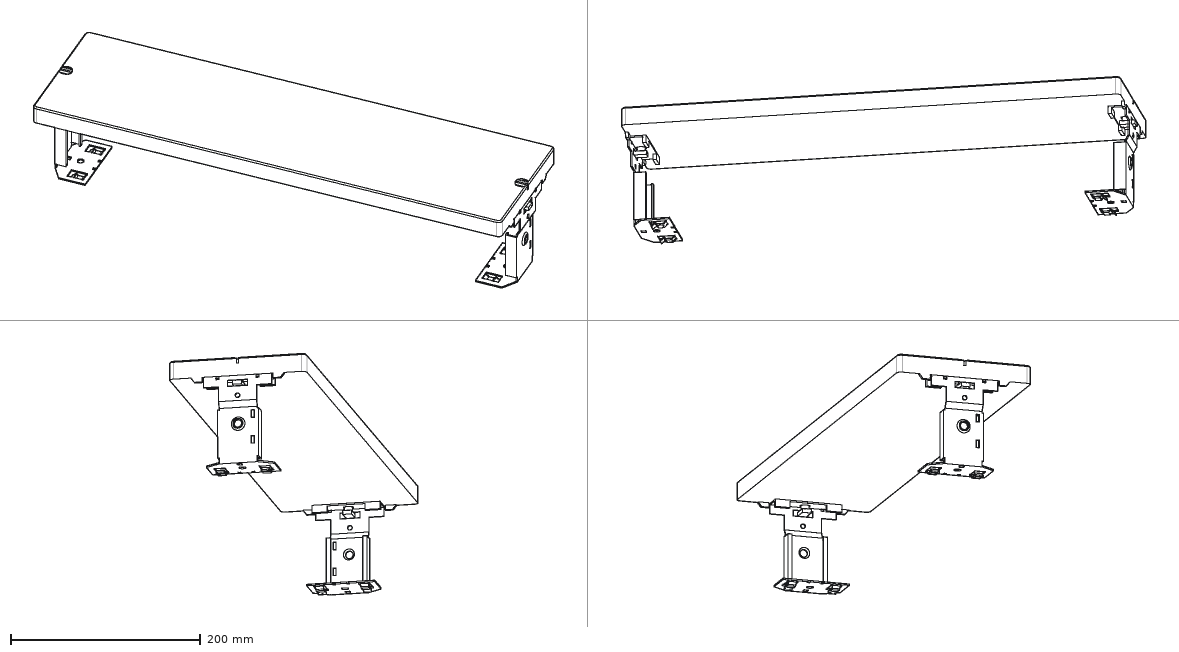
import cadquery as cq

COVER_LENGTH = 537.5
COVER_WIDTH = 149.0
COVER_HEIGHT = 20.0
CORNER_RADIUS = 5.0
TOP_EDGE_CHAMFER = 1.5
OVERALL_LENGTH = 543.0
OVERALL_HEIGHT = 120.0

EAR_INNER_Y = 38.5
EAR_OUTER_Y = 50.5
EAR_SLOPE = 4.0
EAR_DROP = 5.0
EAR_THICKNESS = 3.0

LOCK_X = 261.0
HEAD_DIAMETER = 14.0
HEAD_SINK = 0.5
HEAD_FLATS = 10.0
HEAD_GAP_DEPTH = 1.5
SLOT_WIDTH = 2.0
SLOT_DEPTH = 6.5
SHANK_DIAMETER = 8.5
CAM_WIDTH = 10.0
CAM_TOP = -6.0
CAM_BOTTOM = -10.5
CAM_INNER_X = 254.5

SHEET = 1.5
UPPER_WALL_X = COVER_LENGTH / 2
LOWER_WALL_X = 265.0
WALL_HALF_WIDTH = 20.5
JOG_TOP = -27.5
JOG_BOTTOM = -34.0
FOOT_BOTTOM = -95.0
FOOT_TOP = FOOT_BOTTOM + SHEET

WING_HALF_WIDTH = 37.0
WING_BOTTOM = -11.5
SEAT_INNER_X = 248.5
SHANK_CLEARANCE = 2.0
LIP_THICKNESS = 4.0
LIP_DROP = 8.0

RELIEF_Y = 21.5
RELIEF_WIDTH = 3.0
RELIEF_DEPTH = 3.0

WINDOW_WIDTH = 21.5
WINDOW_TOP = -5.0
WINDOW_BOTTOM = WING_BOTTOM
PILOT_DIAMETER = 5.0
PILOT_Z = -21.5

FLANGE_TOP = -36.0
FLANGE_BOTTOM = -88.5
FLANGE_INNER_X = 252.0
RETURN_WIDTH = 5.0

BOSS_Z = -52.0
BOSS_DIAMETER = 14.5
BOSS_TIP_DIAMETER = 11.0
BOSS_HEIGHT = 1.5
BOSS_HOLE_DIAMETER = 8.0
BOSS_MOUTH_DIAMETER = 12.0

SIDE_SLOT_Y = -16.0
SIDE_SLOT_WIDTH = 3.0
SIDE_SLOT_HEIGHT = 8.0
SIDE_SLOT_CENTRES_Z = (-42.0, -70.0)

FOOT_INNER_X = 223.5
FOOT_HALF_WIDTH = WING_HALF_WIDTH
FOOT_CHAMFER_LENGTH = 11.0
FOOT_HOLE_X = 244.5
FOOT_HOLE_DIAMETER = 7.0
SQUARE_HOLE_X = 258.5
SQUARE_HOLE_SIZE = 5.0
EDGE_HOLE_X = 226.0
EDGE_HOLE_Y = 7.5
EDGE_HOLE_SIZE = 2.5

TONGUE_Y = 24.5
TONGUE_WIDTH = 8.5
TONGUE_ROOT_X = 228.5
TROUGH_INNER_X = 232.5
TROUGH_OUTER_X = 238.5
TONGUE_CREST_X = 240.5
TONGUE_TIP_X = 245.0
TONGUE_DIP = 2.0
TONGUE_BOTTOM = COVER_HEIGHT - OVERALL_HEIGHT
TONGUE_WINDOW_WIDTH = 12.0
TONGUE_WINDOW_END_X = 247.0


def block(x_range, y_range, z_range):
    """Box between two limits along each axis."""
    x0, x1 = sorted(x_range)
    y0, y1 = sorted(y_range)
    z0, z1 = sorted(z_range)
    return cq.Workplane("XY").box(x1 - x0, y1 - y0, z1 - z0, centered=False).translate((x0, y0, z0))


def upright_cylinder(x, diameter, z_range):
    """Cylinder along Z on the centre line Y = 0."""
    z0, z1 = sorted(z_range)
    return cq.Workplane("XY", origin=(x, 0, z0)).circle(diameter / 2).extrude(z1 - z0)


def both_ways(half_size):
    """Limits placed evenly on both sides of zero."""
    return (-half_size, half_size)


def at_both_ends(body):
    """The left-end body together with its copy turned half a turn about Z."""
    return [body, body.rotate((0, 0, 0), (0, 0, 1), 180)]


def cover_panel():
    """Flat panel with rounded corners and a chamfered top edge."""
    panel = cq.Workplane("XY").box(COVER_LENGTH, COVER_WIDTH, COVER_HEIGHT, centered=(True, True, False))
    return panel.edges("|Z").fillet(CORNER_RADIUS).faces(">Z").edges().chamfer(TOP_EDGE_CHAMFER)


def ear():
    """Sheet ear at the left end, on the +Y side, with a sloped outer edge."""
    outline = [
        (EAR_INNER_Y, 0),
        (EAR_OUTER_Y, 0),
        (EAR_OUTER_Y - EAR_SLOPE, -EAR_DROP),
        (EAR_INNER_Y, -EAR_DROP),
    ]
    return cq.Workplane("YZ", origin=(-COVER_LENGTH / 2, 0, 0)).polyline(outline).close().extrude(EAR_THICKNESS)


def lock_cuts():
    """Gaps beside the two flats of the lock head and the driver slot, which runs out through the end."""
    gap_bottom = COVER_HEIGHT - HEAD_GAP_DEPTH
    gap_range = (gap_bottom, COVER_HEIGHT)
    recess = upright_cylinder(-LOCK_X, HEAD_DIAMETER, gap_range)
    head = block((-OVERALL_LENGTH / 2, 0), both_ways(HEAD_FLATS / 2), (gap_bottom, COVER_HEIGHT - HEAD_SINK))
    gap = recess.cut(head)
    slot_x = (-OVERALL_LENGTH / 2, -LOCK_X + HEAD_DIAMETER / 2)
    slot = block(slot_x, both_ways(SLOT_WIDTH / 2), (COVER_HEIGHT - SLOT_DEPTH, COVER_HEIGHT))
    return gap.union(slot)


def lock_below():
    """Shank under the cover and the cam tongue that reaches out through the bracket window."""
    shank = upright_cylinder(-LOCK_X, SHANK_DIAMETER, (0, CAM_BOTTOM))
    cam_x = (-OVERALL_LENGTH / 2, -CAM_INNER_X)
    return shank.union(block(cam_x, both_ways(CAM_WIDTH / 2), (CAM_TOP, CAM_BOTTOM)))


def make_cover():
    """Panel with its ears and the lock at each end."""
    cover = cover_panel()
    for cuts in at_both_ends(lock_cuts()):
        cover = cover.cut(cuts)
    end_parts = lock_below().union(ear()).union(ear().mirror("XZ"))
    for parts in at_both_ends(end_parts):
        cover = cover.union(parts)
    return cover


def bracket_strip():
    """Upright sheet that steps inward at the jog."""
    outline = [
        (-UPPER_WALL_X, 0),
        (-UPPER_WALL_X, JOG_TOP),
        (-LOWER_WALL_X, JOG_BOTTOM),
        (-LOWER_WALL_X, FOOT_BOTTOM),
        (-LOWER_WALL_X + SHEET, FOOT_BOTTOM),
        (-LOWER_WALL_X + SHEET, JOG_BOTTOM),
        (-UPPER_WALL_X + SHEET, JOG_TOP),
        (-UPPER_WALL_X + SHEET, 0),
    ]
    return cq.Workplane("XZ").polyline(outline).close().extrude(WALL_HALF_WIDTH, both=True)


def seat():
    """Wide top of the bracket: wings, seat under the cover and two lips on its inner edge."""
    seat_y = both_ways(WING_HALF_WIDTH)
    wings = block((-UPPER_WALL_X, -UPPER_WALL_X + SHEET), seat_y, (WING_BOTTOM, 0))
    top = block((-UPPER_WALL_X, -SEAT_INNER_X), seat_y, (-SHEET, 0))
    shank_hole = upright_cylinder(-LOCK_X, SHANK_DIAMETER + SHANK_CLEARANCE, (-SHEET, 0))
    body = wings.union(top.cut(shank_hole))
    lip_x = (-SEAT_INNER_X - LIP_THICKNESS, -SEAT_INNER_X)
    lip = block(lip_x, (WALL_HALF_WIDTH, WING_HALF_WIDTH), (-LIP_DROP, 0))
    return body.union(lip).union(lip.mirror("XZ"))


def side_flange():
    """Stiffening flange along the +Y edge of the lower wall, with a return lip bent inward."""
    outer_y = WALL_HALF_WIDTH + SHEET
    flange_z = (FLANGE_BOTTOM, FLANGE_TOP)
    side = block((-LOWER_WALL_X, -FLANGE_INNER_X), (WALL_HALF_WIDTH, outer_y), flange_z)
    return_x = (-FLANGE_INNER_X - SHEET, -FLANGE_INNER_X)
    return side.union(block(return_x, (outer_y - RETURN_WIDTH, outer_y), flange_z))


def boss():
    """Shallow cone raised on the outer face of the lower wall."""
    base = cq.Workplane("YZ", origin=(-LOWER_WALL_X, 0, BOSS_Z)).circle(BOSS_DIAMETER / 2)
    return base.workplane(offset=-BOSS_HEIGHT).circle(BOSS_TIP_DIAMETER / 2).loft()


def boss_dimple():
    """Conical dimple behind the boss, tapering from the inner face of the wall to the boss hole."""
    mouth = cq.Workplane("YZ", origin=(-LOWER_WALL_X + SHEET, 0, BOSS_Z)).circle(BOSS_MOUTH_DIAMETER / 2)
    return mouth.workplane(offset=-SHEET).circle(BOSS_HOLE_DIAMETER / 2).loft()


def wall_openings():
    """Cam window, pilot hole, boss hole and side slots, all through the upright sheet."""
    depth_x = (-OVERALL_LENGTH / 2, -LOWER_WALL_X + SHEET)
    depth = depth_x[1] - depth_x[0]
    openings = block(depth_x, both_ways(WINDOW_WIDTH / 2), (WINDOW_BOTTOM, WINDOW_TOP))
    for z, diameter in ((PILOT_Z, PILOT_DIAMETER), (BOSS_Z, BOSS_HOLE_DIAMETER)):
        hole = cq.Workplane("YZ", origin=(depth_x[0], 0, z)).circle(diameter / 2).extrude(depth)
        openings = openings.union(hole)
    for y in both_ways(RELIEF_Y):
        relief_y = (y - RELIEF_WIDTH / 2, y + RELIEF_WIDTH / 2)
        openings = openings.union(block((-UPPER_WALL_X, -UPPER_WALL_X + SHEET), relief_y, (-RELIEF_DEPTH, 0)))
    slot_y = (SIDE_SLOT_Y - SIDE_SLOT_WIDTH / 2, SIDE_SLOT_Y + SIDE_SLOT_WIDTH / 2)
    for z in SIDE_SLOT_CENTRES_Z:
        slot_z = (z - SIDE_SLOT_HEIGHT / 2, z + SIDE_SLOT_HEIGHT / 2)
        openings = openings.union(block(depth_x, slot_y, slot_z))
    return openings.union(boss_dimple())


def tongue():
    """Zigzag spring tongue below the foot, on the +Y side."""
    trough_z = FOOT_BOTTOM - TONGUE_DIP
    spine = [
        (-TONGUE_ROOT_X, FOOT_TOP),
        (-TROUGH_INNER_X, trough_z),
        (-TROUGH_OUTER_X, trough_z),
        (-TONGUE_CREST_X, FOOT_BOTTOM),
        (-TONGUE_TIP_X, TONGUE_BOTTOM + SHEET),
    ]
    outline = spine + [(x, z - SHEET) for x, z in reversed(spine)]
    plane = cq.Workplane("XZ", origin=(0, TONGUE_Y, 0))
    return plane.polyline(outline).close().extrude(TONGUE_WIDTH / 2, both=True)


def foot_plate():
    """Flat foot plate that widens from the wall."""
    chamfer_end_x = -LOWER_WALL_X + FOOT_CHAMFER_LENGTH
    outline = [
        (-LOWER_WALL_X, -WALL_HALF_WIDTH),
        (chamfer_end_x, -FOOT_HALF_WIDTH),
        (-FOOT_INNER_X, -FOOT_HALF_WIDTH),
        (-FOOT_INNER_X, FOOT_HALF_WIDTH),
        (chamfer_end_x, FOOT_HALF_WIDTH),
        (-LOWER_WALL_X, WALL_HALF_WIDTH),
    ]
    return cq.Workplane("XY", origin=(0, 0, FOOT_BOTTOM)).polyline(outline).close().extrude(SHEET)


def square_hole(x, y, size):
    """Square hole cutter through the foot."""
    return block((x - size / 2, x + size / 2), (y - size / 2, y + size / 2), (FOOT_BOTTOM, FOOT_TOP))


def foot_holes():
    """Round hole, square hole by the wall and a pair of small square holes by the free edge."""
    openings = upright_cylinder(-FOOT_HOLE_X, FOOT_HOLE_DIAMETER, (FOOT_BOTTOM, FOOT_TOP))
    openings = openings.union(square_hole(-SQUARE_HOLE_X, 0, SQUARE_HOLE_SIZE))
    for y in both_ways(EDGE_HOLE_Y):
        openings = openings.union(square_hole(-EDGE_HOLE_X, y, EDGE_HOLE_SIZE))
    return openings


def tongue_opening():
    """Window in the foot above the +Y tongue."""
    half_window = TONGUE_WINDOW_WIDTH / 2
    window_y = (TONGUE_Y - half_window, TONGUE_Y + half_window)
    return block((-TONGUE_WINDOW_END_X, -TONGUE_ROOT_X), window_y, (FOOT_BOTTOM, FOOT_TOP))


def foot():
    """Foot plate with its openings and the two lanced tongues."""
    plate = foot_plate().cut(foot_holes())
    plate = plate.cut(tongue_opening()).cut(tongue_opening().mirror("XZ"))
    return plate.union(tongue()).union(tongue().mirror("XZ"))


def make_bracket():
    """Left-end bracket, one bent sheet."""
    bracket = bracket_strip().union(seat()).union(boss())
    bracket = bracket.union(side_flange()).union(side_flange().mirror("XZ"))
    return bracket.cut(wall_openings()).union(foot())


cover = make_cover()
brackets = at_both_ends(make_bracket())

result = cq.Compound.makeCompound([cover.val(), *[bracket.val() for bracket in brackets]])